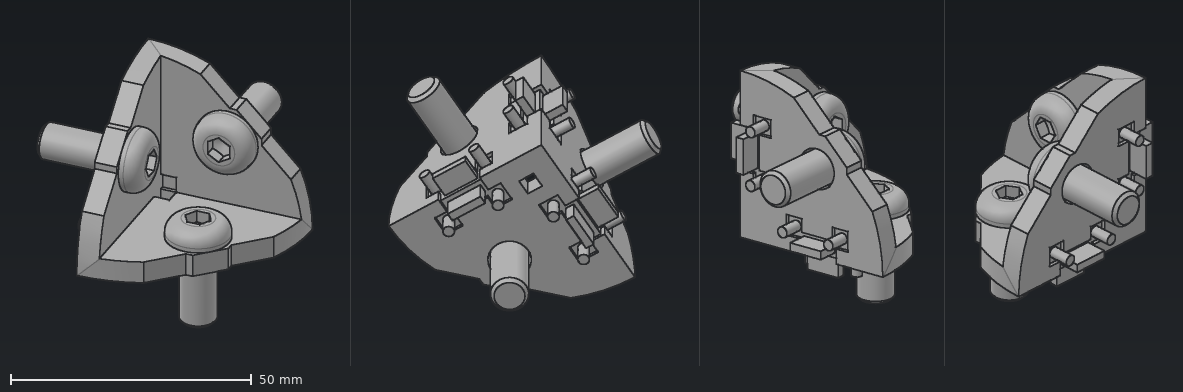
import cadquery as cq
import math

CORNER_DIAGONAL = (1, -1, 1)
PLATE_TURNS = (0, 120, 240)

plate_thickness = 5.0
plate_reach = 37.2
arc_end = 14.0

screw_length = 15.0
screw_offset = 20.05
screw_diameter = 8.0
clearance_diameter = 9.0
tip_chamfer = 0.8
head_diameter = 14.0
head_height = 4.45
head_round = 3.4
socket_width = 5.0
socket_depth = 2.6
socket_cone_depth = 1.05

step_margin = 7.8
step_limit = screw_offset + step_margin
step_slope_end = 22.2

recess_depth = 0.9
pin_diameter = 2.4
pin_spacing = 12.0
pin_inset = 5.7
pad_length = 4.05
pad_width = 4.6
channel_length = 10.1
channel_width = 4.95
tab_length = 8.0
tab_thickness = 1.9
tab_inset = 2.9
locator_height = 3.95

corner_hole = 3.5
corner_recess_depth = 0.9


def box(x_center, y_center, length, width, z_low, z_high):
    """Upright box given by its plan center and its Z range."""
    plan = cq.Workplane("XY", origin=(0, 0, z_low)).center(x_center, y_center)
    return plan.rect(length, width).extrude(z_high - z_low)


def cylinder(x_center, y_center, diameter, z_low, z_high):
    """Upright cylinder given by its plan center and its Z range."""
    plan = cq.Workplane("XY", origin=(x_center, y_center, z_low))
    return plan.circle(diameter / 2).extrude(z_high - z_low)


def on_all_plates(feature):
    """Copies of a floor plate feature, one for each plate."""
    return [feature.rotate((0, 0, 0), CORNER_DIAGONAL, turn) for turn in PLATE_TURNS]


def outline_block():
    """Floor plate outline raised through the whole height of the part."""
    arc_height = math.sqrt(plate_reach**2 - arc_end**2)
    arc_middle = math.atan2(arc_end, arc_height) / 2
    middle_along = plate_reach * math.cos(arc_middle)
    middle_across = plate_reach * math.sin(arc_middle)
    step_start = arc_end + arc_height - step_limit
    return (
        cq.Workplane("XY")
        .lineTo(plate_reach, 0)
        .threePointArc((middle_along, -middle_across), (arc_height, -arc_end))
        .lineTo(step_limit, -step_start)
        .lineTo(step_limit, -step_slope_end)
        .lineTo(step_slope_end, -step_limit)
        .lineTo(step_start, -step_limit)
        .lineTo(arc_end, -arc_height)
        .threePointArc((middle_across, -middle_along), (0, -plate_reach))
        .close()
        .extrude(plate_reach)
    )


def corner_bracket():
    """Plates mitred at their rounded ends, hollow on the inner side."""
    first, second, third = on_all_plates(outline_block())
    inner_space = cq.Workplane("XY").box(plate_reach, plate_reach, plate_reach, centered=False)
    inner_space = inner_space.translate(
        (plate_thickness, -plate_thickness - plate_reach, plate_thickness)
    )
    return first.intersect(second).intersect(third).cut(inner_space)


def corner_opening():
    """Square hole through the floor and a shallow square recess in the rear wall."""
    center = plate_thickness + corner_hole / 2
    through_floor = box(center, -center, corner_hole, corner_hole, 0, plate_thickness)
    wall_recess = box(
        center,
        -plate_thickness + corner_recess_depth / 2,
        corner_hole,
        corner_recess_depth,
        plate_thickness,
        plate_thickness + corner_hole,
    )
    return through_floor.union(wall_recess)


def screw():
    """Button head screw standing on the inner face and pointing down."""
    shank = cylinder(screw_offset, -screw_offset, screw_diameter, -screw_length, plate_thickness)
    shank = shank.faces("<Z").chamfer(tip_chamfer)
    head_top = plate_thickness + head_height
    head = cylinder(screw_offset, -screw_offset, head_diameter, plate_thickness, head_top)
    head = head.faces(">Z").edges().fillet(head_round)

    socket_corner_diameter = socket_width / math.cos(math.pi / 6)
    socket = (
        cq.Workplane("XY", origin=(screw_offset, -screw_offset, head_top))
        .polygon(6, socket_corner_diameter)
        .extrude(-socket_depth - socket_cone_depth)
    )
    cone_ended_bore = (
        cq.Workplane("XZ", origin=(screw_offset, -screw_offset, head_top))
        .lineTo(socket_corner_diameter / 2, 0)
        .lineTo(socket_corner_diameter / 2, -socket_depth)
        .lineTo(0, -socket_depth - socket_cone_depth)
        .close()
        .revolve(360, (0, 0), (0, 1))
    )
    return shank.union(head).cut(socket.intersect(cone_ended_bore))


def pin_positions():
    """Distances of both pins along the plate edge."""
    return [screw_offset + side * pin_spacing / 2 for side in (-1, 1)]


def locator_recess():
    """Recess at the rear edge of the floor: a channel with a pad around each pin."""
    recess = box(screw_offset, -channel_width / 2, channel_length, channel_width, 0, recess_depth)
    for x in pin_positions():
        recess = recess.union(box(x, -pin_inset, pad_length, pad_width, 0, recess_depth))
    return recess


def locators():
    """Tab and two pins standing on the bottom of the recess."""
    tab = box(screw_offset, -tab_inset, tab_length, tab_thickness, -locator_height, recess_depth)
    pins = [
        cylinder(x, -pin_inset, pin_diameter, -locator_height, recess_depth)
        for x in pin_positions()
    ]
    return [tab] + pins


def at_left_edge(feature):
    """Carry a feature from the rear edge of the floor to its left edge."""
    return feature.rotate((0, 0, 0), (0, 0, 1), -90).mirror("YZ")


clearance_hole = cylinder(screw_offset, -screw_offset, clearance_diameter, 0, plate_thickness)
floor_cuts = [clearance_hole, locator_recess(), at_left_edge(locator_recess())]
floor_additions = [screw()]
for locator in locators():
    floor_additions += [locator, at_left_edge(locator)]

result = corner_bracket().cut(corner_opening())
for cut in floor_cuts:
    for copy in on_all_plates(cut):
        result = result.cut(copy)
for addition in floor_additions:
    for copy in on_all_plates(addition):
        result = result.union(copy)